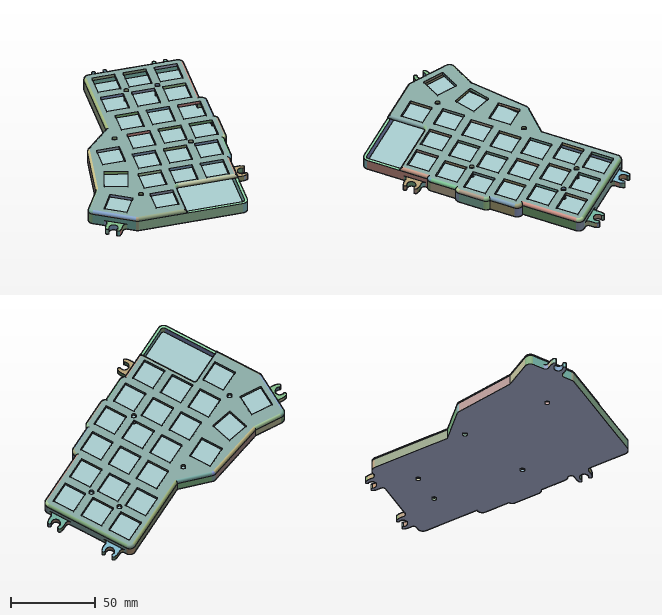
import cadquery as cq
import math

total_height = 9.0
cover_thickness = 2.0
case_height = total_height - cover_thickness
floor_thickness = 2.0
fork_height = 3.8

wall = 1.8
corner_radius = 3.6
cover_edge_fillet = 1.5
bay_corner_radius = 1.5

hole_diameter = 2.9
thumb_holes = [(63.4, 2.3), (118.6, 3.2)]

key_pitch = 19.05
window_size = 14.0
margin = 4.5
row_count = 3
column_rises = [0.0, 0.0, 3.8, 5.7, 3.8, 2.0]
edge_distance = margin + window_size / 2
first_center = edge_distance
grid_height = (row_count - 1) * key_pitch + window_size + 2 * margin

outer_column_gap = 1.0
outer_key_x = first_center + len(column_rises) * key_pitch + outer_column_gap
outer_key_rise = 3.8

thumb_keys = [(78.7, -4.2, 0), (101.0, -7.2, -15), (123.8, -12.0, -30)]

case_width = 141.0
thumb_angle = thumb_keys[-1][2]
south_edge_end = 52.7
thumb_slope_drop = 16.0
thumb_tip_length = 21.1
thumb_tip_reach = 16.3

bay_left = 116.5
bay_bottom = 25.3

fork_length = 7.7
fork_width = 10.0
fork_slot_width = 4.7
fork_seat_diameter = 5.3
fork_seat_distance = 5.1
fork_tip_taper = 0.5
fork_root_radius = 2.0
fork_root_depth = 0.8
west_fork_inset = 12.0
thumb_fork_shift = 1.4


def column_x(column):
    return first_center + column * key_pitch


def column_top(column):
    return grid_height + column_rises[column]


def column_side(column, side):
    """X of the case edge beside a column: side is -1 for left, +1 for right."""
    return column_x(column) + side * edge_distance


def thumb_point(across, along):
    """Point in the frame of the last thumb key, whose across axis points out of the slanted side."""
    x, y, angle = thumb_keys[-1]
    c = math.cos(math.radians(angle))
    s = math.sin(math.radians(angle))
    return (x + across * c - along * s, y + across * s + along * c)


def outline_points():
    """Sharp corners of the case: clockwise from the south-west one, stepping along the columns."""
    tip = thumb_point(edge_distance, -thumb_tip_reach)
    tip_inner = thumb_point(edge_distance - thumb_tip_length, -thumb_tip_reach)
    slope = math.tan(math.radians(90 + thumb_angle))
    side_end = (case_width, tip[1] + (case_width - tip[0]) * slope)
    return [
        (0, 0),
        (0, column_top(0)),
        (column_side(2, -1), column_top(0)),
        (column_side(2, -1), column_top(2)),
        (column_side(3, -1), column_top(2)),
        (column_side(3, -1), column_top(3)),
        (column_side(3, 1), column_top(3)),
        (column_side(3, 1), column_top(4)),
        (column_side(4, 1), column_top(4)),
        (column_side(4, 1), column_top(5)),
        (case_width, column_top(5)),
        side_end,
        tip,
        tip_inner,
        (south_edge_end + thumb_slope_drop, -thumb_slope_drop),
        (south_edge_end, 0),
    ]


def rounded_outline(inset, z):
    """Case outline moved inward, with round convex corners and sharp concave ones."""
    core = cq.Workplane("XY").workplane(offset=z).polyline(outline_points()).close()
    core = core.offset2D(-corner_radius, "intersection")
    return core.offset2D(corner_radius - inset, "arc")


def screw_holes():
    column_gap_x = first_center + key_pitch / 2
    upper_gap_y = first_center + 1.5 * key_pitch
    points = [
        (column_gap_x, upper_gap_y),
        (column_gap_x, upper_gap_y - key_pitch),
        (column_gap_x + 3 * key_pitch, upper_gap_y + (column_rises[3] + column_rises[4]) / 2),
        *thumb_holes,
    ]
    return cq.Workplane("XY").pushPoints(points).circle(hole_diameter / 2).extrude(total_height)


def fork():
    """Fork tab that points along +X from a wall at X = 0, with its root sunk into the wall."""
    half = fork_width / 2
    flare = half + fork_root_radius
    tip_half = half - fork_tip_taper
    tip_width = tip_half - fork_slot_width / 2
    tip_base = fork_length - tip_width / 2
    body = (
        cq.Workplane("XY")
        .moveTo(-fork_root_depth, -flare)
        .lineTo(0, -flare)
        .radiusArc((fork_root_radius, -half), fork_root_radius)
        .lineTo(fork_seat_distance, -half)
        .lineTo(tip_base, -tip_half)
        .threePointArc((fork_length, tip_width / 2 - tip_half), (tip_base, tip_width - tip_half))
        .lineTo(fork_seat_distance, -fork_slot_width / 2)
        .lineTo(fork_seat_distance, fork_slot_width / 2)
        .lineTo(tip_base, tip_half - tip_width)
        .threePointArc((fork_length, tip_half - tip_width / 2), (tip_base, tip_half))
        .lineTo(fork_seat_distance, half)
        .lineTo(fork_root_radius, half)
        .radiusArc((0, flare), fork_root_radius)
        .lineTo(-fork_root_depth, flare)
        .close()
        .extrude(fork_height)
    )
    seat = cq.Workplane("XY").center(fork_seat_distance, 0).circle(fork_seat_diameter / 2)
    return body.cut(seat.extrude(fork_height))


def forks():
    placements = [
        (0, west_fork_inset, 180),
        (0, grid_height - west_fork_inset, 180),
        (column_x(5), column_top(5), 90),
        (*thumb_point(edge_distance, thumb_fork_shift), thumb_angle),
    ]
    return [fork().rotate((0, 0, 0), (0, 0, 1), angle).translate((x, y, 0)) for x, y, angle in placements]


def make_case():
    """Open tray with a floor, an outer wall and four fork tabs."""
    case = rounded_outline(0, 0).extrude(case_height)
    for tab in forks():
        case = case.union(tab)
    cavity = rounded_outline(wall, floor_thickness).extrude(case_height)
    return case.cut(cavity).cut(screw_holes())


def key_places():
    places = [
        (column_x(column), first_center + rise + row * key_pitch, 0)
        for column, rise in enumerate(column_rises)
        for row in range(row_count)
    ]
    places.append((outer_key_x, first_center + outer_key_rise, 0))
    return places + thumb_keys


def window(x, y, angle):
    cutter = cq.Workplane("XY").rect(window_size, window_size).extrude(total_height)
    return cutter.rotate((0, 0, 0), (0, 0, 1), angle).translate((x, y, 0))


def make_cover():
    """Plate on the case rim with key windows, a rounded upper edge and an open controller bay."""
    cover = rounded_outline(0, case_height).extrude(cover_thickness)
    bay = (
        cq.Workplane("XY")
        .rect(case_width, case_width, centered=False)
        .extrude(total_height)
        .edges("|Z and <X and <Y")
        .fillet(bay_corner_radius)
        .translate((bay_left, bay_bottom, 0))
    )
    cover = cover.cut(bay).faces(">Z").edges().fillet(cover_edge_fillet).cut(screw_holes())
    for x, y, angle in key_places():
        cover = cover.cut(window(x, y, angle))
    return cover


case = make_case()
cover = make_cover()

result = cq.Compound.makeCompound([case.val(), cover.val()])